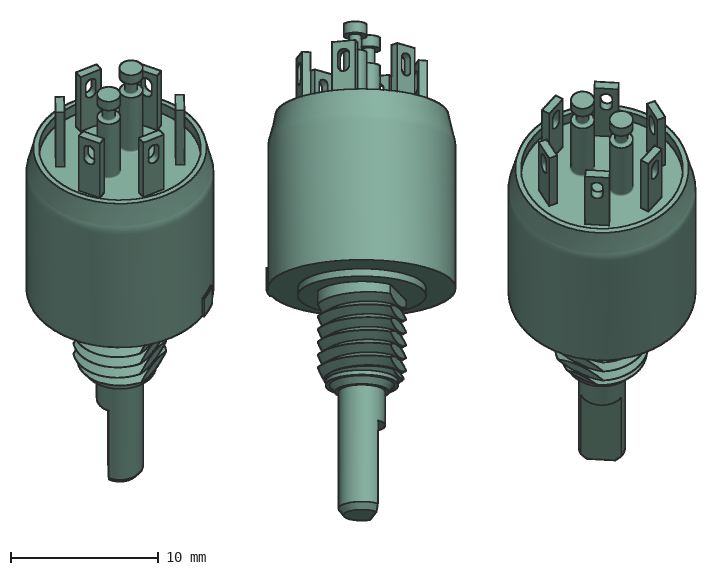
import cadquery as cq
import math


housing_radius = 6.35
housing_bottom = 0.53
shoulder_height = 10.55
cone_start_height = 11.16
cone_start_radius = 6.24
shoulder_bulge = 0.03
rim_height = 12.82
rim_radius = 5.86
rim_wall = 0.38
floor_height = 11.96
flange_radius = 4.34

key_projection = 0.13
key_width = 1.5
key_top = 2.09

thread_radius = 3.175
thread_root_radius = 2.48
thread_pitch = 0.907
thread_turns = 7
thread_top = -0.55
groove_mouth = 0.97 * thread_pitch
cutter_overshoot = 0.15
lead_in_start = -5.5
lead_in_end = -6.07
nose_start = -6.38
bushing_end = -6.84
nose_neck_radius = 2.46
nose_radius = 2.2
nose_end_radius = 1.82
flats_width = 5.14

shaft_radius = 3.175 / 2
shaft_end = -15.59
shaft_chamfer_length = 0.46
shaft_chamfer_radial = 0.34
shaft_flat_top = -9.22
shaft_flat_offset = shaft_radius / 2
shaft_flat_angle = 210

lug_count = 6
lug_circle_radius = 4.06
lug_width = 1.64
lug_thickness = 0.6
lug_top = 16.76
lug_hole_width = 0.8
lug_hole_length = 1.58
lug_hole_height = 15.42

post_offset = 1.5875
post_radius = 0.79
post_neck_radius = 0.43
post_head_radius = 0.79
post_fillet = 0.14
neck_fillet = 0.12
post_head_bottom = 17.96
post_head_top = 18.75


def make_shell():
    """Round housing with a tapered top, a recessed floor and the pilot flange."""
    shoulder_bulge_radius = (housing_radius + cone_start_radius) / 2 + shoulder_bulge
    shoulder_bulge_height = (shoulder_height + cone_start_height) / 2
    return (
        cq.Workplane("XZ")
        .moveTo(0, 0)
        .lineTo(flange_radius, 0)
        .lineTo(flange_radius, housing_bottom)
        .lineTo(housing_radius, housing_bottom)
        .lineTo(housing_radius, shoulder_height)
        .threePointArc((shoulder_bulge_radius, shoulder_bulge_height), (cone_start_radius, cone_start_height))
        .lineTo(rim_radius, rim_height)
        .lineTo(rim_radius - rim_wall, rim_height)
        .lineTo(rim_radius - rim_wall, floor_height)
        .lineTo(0, floor_height)
        .close()
        .revolve(360, (0, 0, 0), (0, 1, 0))
    )


def make_key():
    """Arc-shaped key on the +X side, from the XZ plane toward +Y."""
    key_height = key_top - housing_bottom
    disc = cq.Workplane("XY").workplane(offset=housing_bottom).circle(housing_radius + key_projection)
    window = (
        cq.Workplane("XY")
        .workplane(offset=housing_bottom)
        .moveTo(flange_radius, 0)
        .rect(housing_radius, key_width, centered=False)
    )
    return disc.extrude(key_height).intersect(window.extrude(key_height))


def make_thread_cutter():
    """V-shaped right-hand helical groove that ends on the +X side below the flange."""
    helix_start = thread_top - thread_turns * thread_pitch
    cutter_radius = thread_radius + cutter_overshoot
    half_mouth = groove_mouth / 2
    helix = cq.Wire.makeHelix(
        thread_pitch, thread_turns * thread_pitch, thread_root_radius, cq.Vector(0, 0, helix_start)
    )
    return (
        cq.Workplane("XZ")
        .moveTo(thread_root_radius, helix_start)
        .lineTo(thread_radius, helix_start - half_mouth)
        .lineTo(cutter_radius, helix_start - half_mouth)
        .lineTo(cutter_radius, helix_start + half_mouth)
        .lineTo(thread_radius, helix_start + half_mouth)
        .close()
        .sweep(cq.Workplane(obj=helix), isFrenet=True)
    )


def make_bushing():
    """Threaded bushing with two flats and a tapered nose."""
    blank = (
        cq.Workplane("XZ")
        .moveTo(0, housing_bottom)
        .lineTo(thread_radius, housing_bottom)
        .lineTo(thread_radius, lead_in_start)
        .lineTo(nose_neck_radius, lead_in_end)
        .lineTo(nose_neck_radius, nose_start)
        .lineTo(nose_radius, nose_start)
        .lineTo(nose_end_radius, bushing_end)
        .lineTo(0, bushing_end)
        .close()
        .revolve(360, (0, 0, 0), (0, 1, 0))
    )
    between_flats = (
        cq.Workplane("XY")
        .workplane(offset=bushing_end)
        .rect(flats_width, 2 * thread_radius)
        .extrude(housing_bottom - bushing_end)
    )
    return blank.intersect(between_flats).cut(make_thread_cutter())


def make_lug(angle):
    """Flat solder lug with an oblong eye, standing across the radius at the given angle."""
    lug = (
        cq.Workplane("XY")
        .workplane(offset=floor_height)
        .center(lug_circle_radius, 0)
        .rect(lug_thickness, lug_width)
        .extrude(lug_top - floor_height)
    )
    eye = (
        cq.Workplane("YZ", origin=(lug_circle_radius, 0, lug_hole_height))
        .slot2D(lug_hole_length, lug_hole_width, 90)
        .extrude(lug_thickness, both=True)
    )
    return lug.cut(eye).rotate((0, 0, 0), (0, 0, 1), angle)


def fillet_arc(profile, corner_radius, corner_height, size):
    """Continue the profile from a level face, around a concave fillet, up an upright wall."""
    middle = size * (1 - math.sqrt(0.5))
    return (
        profile.lineTo(corner_radius + size, corner_height)
        .threePointArc(
            (corner_radius + middle, corner_height + middle),
            (corner_radius, corner_height + size),
        )
    )


def make_post(y):
    """Round post with a thin neck and a flat head; the post and neck feet are filleted."""
    profile = cq.Workplane("XZ").moveTo(0, floor_height)
    profile = fillet_arc(profile, post_radius, floor_height, post_fillet)
    profile = profile.lineTo(post_radius, lug_top)
    profile = fillet_arc(profile, post_neck_radius, lug_top, neck_fillet)
    return (
        profile.lineTo(post_neck_radius, post_head_bottom)
        .lineTo(post_head_radius, post_head_bottom)
        .lineTo(post_head_radius, post_head_top)
        .lineTo(0, post_head_top)
        .close()
        .revolve(360, (0, 0, 0), (0, 1, 0))
        .translate((0, y, 0))
    )


def make_shaft():
    """Round control shaft with a chamfered tip and one long flat."""
    tip_radius = shaft_radius - shaft_chamfer_radial
    rod = (
        cq.Workplane("XZ")
        .moveTo(0, housing_bottom)
        .lineTo(shaft_radius, housing_bottom)
        .lineTo(shaft_radius, shaft_end + shaft_chamfer_length)
        .lineTo(tip_radius, shaft_end)
        .lineTo(0, shaft_end)
        .close()
        .revolve(360, (0, 0, 0), (0, 1, 0))
    )
    beyond_flat = (
        cq.Workplane("XY")
        .workplane(offset=shaft_end)
        .moveTo(shaft_flat_offset, -shaft_radius)
        .rect(shaft_radius, 2 * shaft_radius, centered=False)
        .extrude(shaft_flat_top - shaft_end)
        .rotate((0, 0, 0), (0, 0, 1), shaft_flat_angle)
    )
    return rod.cut(beyond_flat)


def make_housing():
    """Housing with its bushing, key, lugs and posts, bored for the shaft."""
    body = make_shell().union(make_key()).union(make_bushing())
    for index in range(lug_count):
        lug_angle = 90 + index * 360 / lug_count
        body = body.union(make_lug(lug_angle))
    for y in (-post_offset, post_offset):
        body = body.union(make_post(y))
    shaft_bore = (
        cq.Workplane("XY")
        .workplane(offset=bushing_end)
        .circle(shaft_radius)
        .extrude(housing_bottom - bushing_end)
    )
    return body.cut(shaft_bore)


housing = make_housing()
shaft = make_shaft()

result = cq.Compound.makeCompound([housing.val(), shaft.val()])